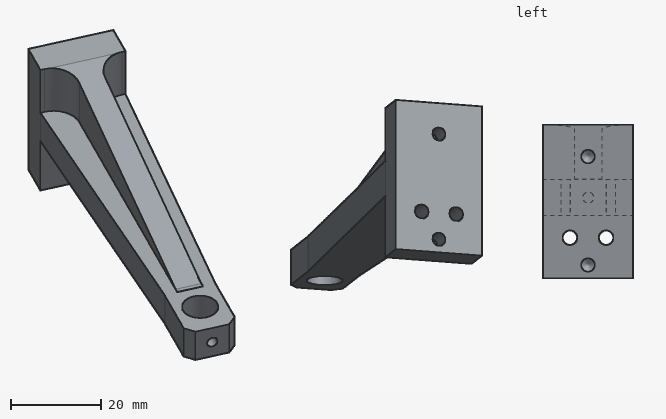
import cadquery as cq
import math

length = 93.0
plate_width = 20.0
plate_height = 34.0
plate_thickness = 8.0

arm_bottom = 13.95
arm_thickness = 8.0
arm_top = arm_bottom + arm_thickness
tip_width = 12.0
taper_end = 78.3
taper_blend_radius = 8.0
tip_chamfer = 2.0

rib_width = 6.0
rib_root_radius = 6.0
rib_end = 78.4
rib_step_length = 1.1
rib_step_height = 0.1

bore_diameter = 8.0
bore_x = length - plate_thickness
tip_hole_diameter = 2.4
through_diameter = 3.2
through_spacing = 8.0
through_z = 9.0
blind_diameter = 3.0
blind_depth = 6.0
blind_heights = (3.0, 27.0)
drill_point_angle = 118.0


def make_plate():
    return cq.Workplane("XY").box(
        plate_thickness, plate_width, plate_height, centered=(False, True, False)
    )


def make_arm():
    """Build one half of the arm, with its taper blended into the tip, and mirror it."""
    root_y = plate_width / 2
    tip_y = tip_width / 2
    taper_angle = math.atan2(root_y - tip_y, taper_end - plate_thickness)
    blend_length = taper_blend_radius * math.tan(taper_angle / 2)
    blend_start = (
        taper_end - blend_length * math.cos(taper_angle),
        tip_y + blend_length * math.sin(taper_angle),
    )
    half = (
        cq.Workplane("XY", origin=(0, 0, arm_bottom))
        .moveTo(plate_thickness, 0)
        .lineTo(plate_thickness, root_y)
        .lineTo(*blend_start)
        .tangentArcPoint((taper_end + blend_length, tip_y), relative=False)
        .lineTo(length - tip_chamfer, tip_y)
        .lineTo(length, tip_y - tip_chamfer)
        .lineTo(length, 0)
        .close()
        .extrude(arm_thickness)
    )
    return half.union(half.mirror("XZ"))


def make_rib():
    """Intersect the flared plan shape with the sloping side profile."""
    half_width = rib_width / 2
    root_y = half_width + rib_root_radius
    root_end = plate_thickness + rib_root_radius
    arc_offset = rib_root_radius * (1 - math.sqrt(0.5))
    arc_x = plate_thickness + arc_offset
    arc_y = half_width + arc_offset
    plan = (
        cq.Workplane("XY", origin=(0, 0, arm_top))
        .moveTo(plate_thickness, -root_y)
        .threePointArc((arc_x, -arc_y), (root_end, -half_width))
        .lineTo(rib_end, -half_width)
        .lineTo(rib_end, half_width)
        .lineTo(root_end, half_width)
        .threePointArc((arc_x, arc_y), (plate_thickness, root_y))
        .close()
        .extrude(plate_height - arm_top)
    )
    step_top = arm_top + rib_step_height
    profile = (
        cq.Workplane("XZ")
        .polyline([
            (plate_thickness, arm_top),
            (rib_end, arm_top),
            (rib_end, step_top),
            (rib_end - rib_step_length, step_top),
            (plate_thickness, plate_height),
        ])
        .close()
        .extrude(plate_width / 2, both=True)
    )
    return plan.intersect(profile)


def make_blind_hole(z):
    """Drilled hole with a conical bottom, entering the plate's outer face."""
    radius = blind_diameter / 2
    point_length = radius / math.tan(math.radians(drill_point_angle / 2))
    return (
        cq.Workplane("XY")
        .polyline([(0, 0), (0, radius), (blind_depth, radius), (blind_depth + point_length, 0)])
        .close()
        .revolve(360, (0, 0), (1, 0))
        .translate((0, 0, z))
    )


def make_through_holes():
    return (
        cq.Workplane("YZ")
        .pushPoints([(-through_spacing / 2, through_z), (through_spacing / 2, through_z)])
        .circle(through_diameter / 2)
        .extrude(plate_thickness)
    )


def make_bore():
    return (
        cq.Workplane("XY", origin=(bore_x, 0, arm_bottom))
        .circle(bore_diameter / 2)
        .extrude(arm_thickness)
    )


def make_tip_hole():
    """Cross hole from the tip face into the bore, at mid-thickness of the arm."""
    return (
        cq.Workplane("YZ", origin=(bore_x, 0, arm_bottom + arm_thickness / 2))
        .circle(tip_hole_diameter / 2)
        .extrude(length - bore_x)
    )


result = make_plate().union(make_arm()).union(make_rib())
result = result.cut(make_through_holes()).cut(make_bore()).cut(make_tip_hole())
for blind_z in blind_heights:
    result = result.cut(make_blind_hole(blind_z))